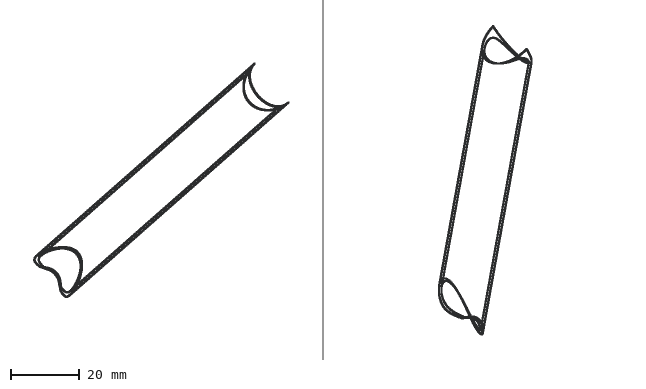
import cadquery as cq
import math

outer_diameter = 15.0
wall = 0.8
rail_radius = 10.6

truss_height = 66.0
truss_run = 82.2
neighbour_angle = 67
truss_plane_pitch = 43.8

outer_radius = outer_diameter / 2
inner_radius = outer_radius - wall
brace_length = math.hypot(truss_height, truss_run)
brace_angle = math.degrees(math.atan2(truss_height, truss_run))

apex = cq.Vector(0, 0, 0)
rail_node = cq.Vector(-truss_height, -truss_run, 0)


def flat_direction(angle):
    """Unit vector in the XY plane, turned by an angle from +Y towards +X."""
    turn = math.radians(angle)
    return cq.Vector(math.sin(turn), math.cos(turn), 0)


def rod(start, angle, radius, length):
    """Solid cylinder from a start point, turned by an angle from +Y towards +X."""
    return cq.Workplane(cq.Solid.makeCylinder(radius, length, start, flat_direction(angle)))


def rod_through(joint, angle, radius):
    """Long cylinder that passes through a joint, reaching equally far on both sides."""
    start = joint - flat_direction(angle) * brace_length
    return rod(start, angle, radius, 2 * brace_length)


def make_plain_brace():
    """Tube between the two joints, before its ends are shaped."""
    outside = rod(rail_node, brace_angle, outer_radius, brace_length)
    return outside.cut(rod_through(rail_node, brace_angle, inner_radius))


def shape_lower_end(brace):
    """Saddle that sits on the rail, its tip notched around the next brace on the node."""
    rail = rod_through(rail_node, 0, rail_radius)
    neighbour = rod(rail_node, 180 - neighbour_angle, outer_radius, brace_length)
    return brace.cut(rail).cut(neighbour)


def shape_upper_end(brace):
    """Cope around the mirrored brace, of the same diameter, that crosses at the apex."""
    return brace.cut(rod_through(apex, -brace_angle, outer_radius))


flat_brace = shape_upper_end(shape_lower_end(make_plain_brace()))

result = flat_brace.rotate((0, 0, 0), (0, 1, 0), -truss_plane_pitch)